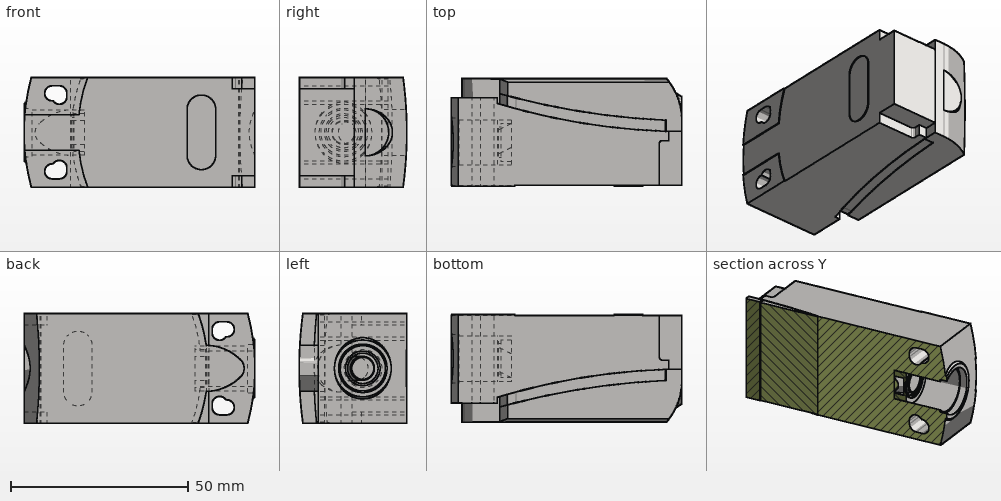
import cadquery as cq
import math

length = 65.1
width = 31.0
half_width = width / 2
crown_height = 30.4

foot_step = 0.25
shoulder_height = 25.0
shoulder_end = 13.0
saddle_start_height = 23.4
saddle_middle = (34.1, 18.3)
saddle_end = 60.4
rear_deck_height = 15.5
nose_sag = 2.0

foot_inner_z = 5.0
foot_inner_x = 15.5
foot_outer_x = 18.0
foot_mid_z = (foot_inner_z + half_width) / 2
foot_mid_x = 16.35

mount_radius = 2.1
mount_x_front = 7.95
mount_x_rear = 9.95
mount_z_outer = 11.0
mount_z_inner = 10.0

notch_x = 58.7
notch_depth = 3.25
notch_relief_x = 61.3
notch_relief_y = 12.9
notch_fillet = 0.85

bore_y = 12.45
boss_radius = 8.0
boss_cone_depth = 1.0
entry_radius = 6.85
entry_depth = 2.15
bore_radius = 6.4
bore_depth = 16.9

bushing_thickness = 3.9
bushing_mouth_radius = 4.9
bushing_mouth_depth = 0.3
bushing_lip_radius = 4.3
bushing_lip_depth = 1.0
bushing_cavity_radius = 5.35
pin_radius = 3.4
pin_chamfer = 0.25
pin_offset = 1.95

gasket_inset = 0.1
gasket_front_inset = 0.4
gasket_taper_x = 18.2
gasket_rear_gap = 0.2
gasket_start_height = 26.3
gasket_middle_height = 21.5
gasket_end_height = 18.6

crown_sag = 1.05
cover_end_y = 18.6
cover_top_x = 60.75
wing_inner = (13.75, 6.5)
wing_outer_x = 16.0
wing_middle = (14.65, 11.05)
tongue_tip_x = 3.05
tongue_tip_side = (3.6, 1.9)
tongue_side_middle = (8.1, 5.2)

lug_top = (63.2, 26.4)
lug_outer_y = 25.25

pad_x = 50.0
pad_width = 8.1
pad_length = 21.0


def across(sketch, half_z):
    """Extrude an XY outline symmetrically across the width."""
    return sketch.extrude(half_z, both=True)


def along_height(sketch, height):
    """Extrude an XZ outline upward in +Y."""
    return sketch.extrude(-height)


def plan():
    """XZ plane at the mounting face."""
    return cq.Workplane("XZ")


def nose_outline(sketch):
    """Full-width plan outline whose front edge is the curved nose."""
    return (
        sketch.moveTo(nose_sag, -half_width)
        .threePointArc((0, 0), (nose_sag, half_width))
        .lineTo(length, half_width)
        .lineTo(length, -half_width)
        .close()
    )


def make_foot(side):
    """One low foot under the nose, on the +Z (side=1) or -Z (side=-1) half."""
    blank = along_height(
        plan()
        .moveTo(0, side * foot_inner_z)
        .lineTo(foot_inner_x, side * foot_inner_z)
        .threePointArc((foot_mid_x, side * foot_mid_z), (foot_outer_x, side * half_width))
        .lineTo(0, side * half_width)
        .close(),
        foot_step,
    )
    return blank.intersect(along_height(nose_outline(plan()), foot_step))


def make_mount_hole(side):
    """Short lengthwise slot that widens inward at its rear end, cut through the full height."""
    slot_edge_z = mount_z_outer - mount_radius
    meet_x = mount_x_rear - math.sqrt(mount_radius**2 - (mount_z_inner - slot_edge_z) ** 2)
    diagonal = mount_radius * math.sqrt(0.5)
    outline = (
        plan()
        .moveTo(mount_x_front, side * (mount_z_outer + mount_radius))
        .lineTo(mount_x_rear, side * (mount_z_outer + mount_radius))
        .threePointArc(
            (mount_x_rear + diagonal, side * (mount_z_outer + diagonal)),
            (mount_x_rear + mount_radius, side * mount_z_outer),
        )
        .lineTo(mount_x_rear + mount_radius, side * mount_z_inner)
        .threePointArc((mount_x_rear, side * (mount_z_inner - mount_radius)), (meet_x, side * slot_edge_z))
        .lineTo(mount_x_front, side * slot_edge_z)
        .threePointArc(
            (mount_x_front - mount_radius, side * mount_z_outer),
            (mount_x_front, side * (mount_z_outer + mount_radius)),
        )
        .close()
    )
    return along_height(outline, crown_height)


def make_notch(side):
    """Rear corner recess, longer below than at the relief near the deck."""
    inner_z = half_width - notch_depth
    return (
        cq.Workplane("XY", origin=(0, 0, side * inner_z))
        .moveTo(notch_x, 0)
        .lineTo(notch_x, notch_relief_y - notch_fillet)
        .radiusArc((notch_x + notch_fillet, notch_relief_y), notch_fillet)
        .lineTo(notch_relief_x, notch_relief_y)
        .lineTo(notch_relief_x, rear_deck_height)
        .lineTo(length, rear_deck_height)
        .lineTo(length, 0)
        .close()
        .extrude(side * notch_depth)
    )


def bore_plane(x):
    """YZ plane centred on the cable entry axis."""
    return cq.Workplane("YZ", origin=(x, bore_y, 0))


def make_housing():
    side_profile = across(
        cq.Workplane("XY")
        .moveTo(0, foot_step)
        .lineTo(length, foot_step)
        .lineTo(length, rear_deck_height)
        .lineTo(saddle_end, rear_deck_height)
        .threePointArc(saddle_middle, (shoulder_end, saddle_start_height))
        .lineTo(shoulder_end, shoulder_height)
        .lineTo(0, shoulder_height)
        .close(),
        half_width,
    )
    body = side_profile.intersect(along_height(nose_outline(plan()), crown_height))
    boss = cq.Workplane(
        cq.Solid.makeCone(
            boss_radius,
            boss_radius + boss_cone_depth,
            boss_cone_depth,
            pnt=cq.Vector(0, bore_y, 0),
            dir=cq.Vector(1, 0, 0),
        )
    )
    body = body.union(boss)
    for side in (1, -1):
        body = body.union(make_foot(side))
        body = body.cut(make_mount_hole(side)).cut(make_notch(side))
    body = body.cut(bore_plane(0).circle(entry_radius).extrude(entry_depth))
    return body.cut(bore_plane(0).circle(bore_radius).extrude(bore_depth))


def wing_plan(sketch):
    """Plan outline with the swept-back front edges and the pointed front tongue."""
    inner_x, inner_z = wing_inner
    middle_x, middle_z = wing_middle
    tip_x, tip_z = tongue_tip_side
    side_x, side_z = tongue_side_middle
    return (
        sketch.moveTo(length, half_width)
        .lineTo(wing_outer_x, half_width)
        .threePointArc((middle_x, middle_z), (inner_x, inner_z))
        .threePointArc((side_x, side_z), (tip_x, tip_z))
        .threePointArc((tongue_tip_x, 0), (tip_x, -tip_z))
        .threePointArc((side_x, -side_z), (inner_x, -inner_z))
        .threePointArc((middle_x, -middle_z), (wing_outer_x, -half_width))
        .lineTo(length, -half_width)
        .close()
    )


def gasket_strip():
    """Full-width curved strip between the housing saddle and the cover, behind the tongue."""
    strip = across(
        cq.Workplane("XY")
        .moveTo(shoulder_end, saddle_start_height)
        .threePointArc(saddle_middle, (saddle_end, rear_deck_height))
        .lineTo(saddle_end, gasket_end_height)
        .threePointArc((saddle_middle[0], gasket_middle_height), (shoulder_end, gasket_start_height))
        .close(),
        half_width,
    )
    tongue_root = cq.Workplane("XY").box(wing_inner[0], crown_height, width, centered=(False, False, True))
    return strip.cut(tongue_root)


def make_gasket():
    """The strip, narrowed to sit behind the cover sides and tapered at its front."""
    front_half_z = half_width - gasket_front_inset
    side_half_z = half_width - gasket_inset
    tapered_plan = plan().polyline(
        [
            (shoulder_end, front_half_z),
            (wing_outer_x, front_half_z),
            (gasket_taper_x, side_half_z),
            (length, side_half_z),
            (length, -side_half_z),
            (gasket_taper_x, -side_half_z),
            (wing_outer_x, -front_half_z),
            (shoulder_end, -front_half_z),
        ]
    ).close()
    strip = gasket_strip().intersect(along_height(tapered_plan, crown_height))
    return strip.intersect(along_height(wing_plan(plan()), crown_height))


end_run = length - cover_top_x
end_rise = crown_height - cover_end_y
end_radius = (end_run**2 + end_rise**2) / (2 * end_run)
end_centre_x = length - end_radius


def on_rear_rounding(y):
    """Point of the rear rounding at height y."""
    return end_centre_x + math.sqrt(end_radius**2 - (y - cover_end_y) ** 2), y


def make_cover():
    side_profile = across(
        cq.Workplane("XY")
        .moveTo(0, shoulder_height)
        .lineTo(shoulder_end, shoulder_height)
        .lineTo(shoulder_end, saddle_start_height)
        .threePointArc(saddle_middle, (saddle_end, rear_deck_height))
        .lineTo(length, rear_deck_height)
        .lineTo(length, cover_end_y)
        .threePointArc(on_rear_rounding(cover_end_y + end_rise / 2), (cover_top_x, crown_height))
        .lineTo(0, crown_height)
        .close(),
        half_width,
    )
    rear_gap = across(
        cq.Workplane("XY")
        .moveTo(saddle_end, rear_deck_height)
        .lineTo(saddle_end + gasket_rear_gap, rear_deck_height)
        .lineTo(saddle_end + gasket_rear_gap, gasket_end_height)
        .lineTo(saddle_end, gasket_end_height)
        .close(),
        half_width,
    )
    crown = (
        cq.Workplane("YZ")
        .moveTo(0, -half_width)
        .lineTo(crown_height - crown_sag, -half_width)
        .threePointArc((crown_height, 0), (crown_height - crown_sag, half_width))
        .lineTo(0, half_width)
        .close()
        .extrude(length)
    )
    body = side_profile.intersect(along_height(wing_plan(plan()), crown_height)).intersect(crown)
    return body.cut(gasket_strip()).cut(rear_gap)


def make_end_lug():
    """Upper half of a cone that squares off the rear rounding in the middle of the width."""
    lug_x, lug_y = lug_top
    root_radius = lug_y - cover_end_y
    cone = cq.Workplane(
        cq.Solid.makeCone(
            root_radius,
            lug_outer_y - cover_end_y,
            length - lug_x,
            pnt=cq.Vector(lug_x, cover_end_y, 0),
            dir=cq.Vector(1, 0, 0),
        )
    )
    outside_rounding = across(
        cq.Workplane("XY")
        .moveTo(length, cover_end_y)
        .lineTo(length, lug_y)
        .lineTo(*on_rear_rounding(lug_y))
        .threePointArc(on_rear_rounding((cover_end_y + lug_y) / 2), (length, cover_end_y))
        .close(),
        root_radius,
    )
    return cone.intersect(outside_rounding)


def make_oval_pad():
    return along_height(plan().center(pad_x, 0).slot2D(pad_length, pad_width, 90), foot_step)


def make_bushing():
    """Ring with a shallow mouth, a narrow lip and a wider cavity behind it."""
    face_x = bore_depth - bushing_thickness
    ring = bore_plane(face_x).circle(bore_radius).extrude(bushing_thickness)
    ring = ring.cut(bore_plane(face_x).circle(bushing_mouth_radius).extrude(bushing_mouth_depth))
    ring = ring.cut(bore_plane(face_x).circle(bushing_lip_radius).extrude(bushing_lip_depth))
    cavity_depth = bushing_thickness - bushing_lip_depth
    return ring.cut(bore_plane(bore_depth).circle(bushing_cavity_radius).extrude(-cavity_depth))


def make_pin():
    """Oblique round pin from the bore bottom, tip on the bore axis."""
    pin = (
        bore_plane(bore_depth)
        .center(pin_offset, 0)
        .circle(pin_radius)
        .workplane(offset=-bushing_thickness)
        .center(-pin_offset, 0)
        .circle(pin_radius)
        .loft(ruled=True)
    )
    return pin.faces("<X").edges().chamfer(pin_chamfer)


housing = make_housing()
gasket = make_gasket()
cover = make_cover()
end_lug = make_end_lug()
oval_pad = make_oval_pad()
bushing = make_bushing()
pin = make_pin()

result = cq.Compound.makeCompound(
    [
        housing.val(),
        gasket.val(),
        cover.val(),
        end_lug.val(),
        oval_pad.val(),
        bushing.val(),
        pin.val(),
    ]
)